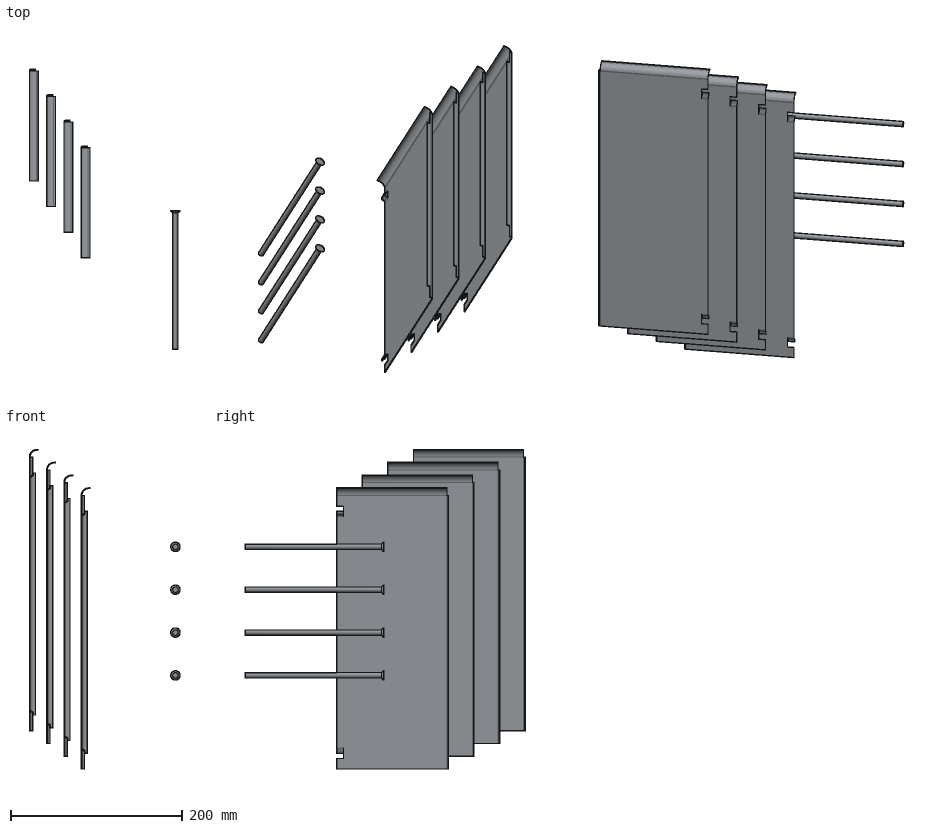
import cadquery as cq
import math

ROW_HEIGHT = 373.5
COUNT = 4
STEP_X = 20.0
STEP_Y = 30.0
STEP_Z = 15.0

SHEET = 1.0
PANEL_HEIGHT = ROW_HEIGHT - (COUNT - 1) * STEP_Z
FLAT_WIDTH = 129.0

LIP_RADIUS = 9.0
LIP_ANGLE = math.radians(85)
LIP_FLAT = 2.2

FOLD_RADIUS = 2 * SHEET
FLANGE_DEPTH = 7.5
FLANGE_END_DEPTH = 4.0

TAB_INSET = 18.3
TAB_WIDTH = 8.0
TAB_OFFSET = 3.7
TAB_FLAT = 2.2
TAB_BEND_ANGLE = math.radians(60)
SLOT_HEIGHT = 5.5

NAIL_X = 110.0
NAIL_TIP_Y = -106.8
NAIL_LENGTH = 162.0
NAIL_PITCH = 50.0
LOWEST_NAIL_Z = 109.5
SHANK_RADIUS = 3.25
HEAD_RADIUS = 5.5
HEAD_RIM = 0.7
HEAD_HEIGHT = 2.5

LIP_RISE = LIP_RADIUS * math.sin(LIP_ANGLE) + LIP_FLAT * math.cos(LIP_ANGLE)
FLAT_HEIGHT = PANEL_HEIGHT - LIP_RISE

TAB_BEND_CENTER_GAP = 2 * FOLD_RADIUS - SHEET
TAB_SLOPE_LENGTH = (
    TAB_OFFSET - TAB_BEND_CENTER_GAP * (1 - math.cos(TAB_BEND_ANGLE))
) / math.sin(TAB_BEND_ANGLE)
TAB_BEND_HEIGHT = (
    TAB_BEND_CENTER_GAP * math.sin(TAB_BEND_ANGLE) + TAB_SLOPE_LENGTH * math.cos(TAB_BEND_ANGLE)
)
TAB_BEND_BOTTOM = TAB_INSET + TAB_FLAT
TAB_ROOT = TAB_BEND_BOTTOM + TAB_BEND_HEIGHT


def lip_point(radius, angle):
    """Point (x, z) on the lip at an angle from the sheet."""
    return (LIP_RADIUS - radius * math.cos(angle), FLAT_HEIGHT + radius * math.sin(angle))


def along_lip_end(point):
    """Point moved by the length of the lip's straight end."""
    return (point[0] + LIP_FLAT * math.sin(LIP_ANGLE), point[1] + LIP_FLAT * math.cos(LIP_ANGLE))


def along_width(width):
    """Extrusion distance toward +Y from an XZ workplane."""
    return -width


def make_sheet():
    """Flat sheet with the curved lip along its top."""
    inner_radius = LIP_RADIUS - SHEET
    outer_end = lip_point(LIP_RADIUS, LIP_ANGLE)
    inner_end = lip_point(inner_radius, LIP_ANGLE)
    return (
        cq.Workplane("XZ")
        .lineTo(0, FLAT_HEIGHT)
        .threePointArc(lip_point(LIP_RADIUS, LIP_ANGLE / 2), outer_end)
        .lineTo(*along_lip_end(outer_end))
        .lineTo(*along_lip_end(inner_end))
        .lineTo(*inner_end)
        .threePointArc(lip_point(inner_radius, LIP_ANGLE / 2), (SHEET, FLAT_HEIGHT))
        .lineTo(SHEET, 0)
        .close()
        .extrude(along_width(FLAT_WIDTH))
    )


def make_flange():
    """Flange along the +Y edge, with its two ends cut narrower."""
    inner_radius = FOLD_RADIUS - SHEET
    outer_y = FLAT_WIDTH + FOLD_RADIUS
    diagonal = math.sqrt(0.5)
    flange = (
        cq.Workplane("XY")
        .moveTo(0, FLAT_WIDTH)
        .threePointArc(
            (FOLD_RADIUS * (1 - diagonal), FLAT_WIDTH + FOLD_RADIUS * diagonal), (FOLD_RADIUS, outer_y)
        )
        .lineTo(FLANGE_DEPTH, outer_y)
        .lineTo(FLANGE_DEPTH, outer_y - SHEET)
        .lineTo(FOLD_RADIUS, outer_y - SHEET)
        .threePointArc(
            (FOLD_RADIUS - inner_radius * diagonal, FLAT_WIDTH + inner_radius * diagonal), (SHEET, FLAT_WIDTH)
        )
        .close()
        .extrude(FLAT_HEIGHT)
    )
    notch = cq.Workplane("XY").box(
        FLANGE_DEPTH - FLANGE_END_DEPTH, outer_y, TAB_INSET, centered=False
    )
    for notch_z in (0, FLAT_HEIGHT - TAB_INSET):
        flange = flange.cut(notch.translate((FLANGE_END_DEPTH, 0, notch_z)))
    return flange


def root_bend_point(radius, angle):
    """Point (x, z) on the tab's bend next to the sheet."""
    return (FOLD_RADIUS - radius * math.cos(angle), TAB_ROOT - radius * math.sin(angle))


def end_bend_point(radius, angle):
    """Point (x, z) on the tab's bend next to its straight end."""
    center_x = TAB_OFFSET + SHEET - FOLD_RADIUS
    return (center_x + radius * math.cos(angle), TAB_BEND_BOTTOM + radius * math.sin(angle))


def make_lower_tab():
    """Tab reaching down from the sheet, stepped inward behind the outer face."""
    inner_radius = FOLD_RADIUS - SHEET
    full = TAB_BEND_ANGLE
    half = full / 2
    return (
        cq.Workplane("XZ")
        .moveTo(0, TAB_ROOT)
        .threePointArc(root_bend_point(FOLD_RADIUS, half), root_bend_point(FOLD_RADIUS, full))
        .lineTo(*end_bend_point(inner_radius, full))
        .threePointArc(end_bend_point(inner_radius, half), end_bend_point(inner_radius, 0))
        .lineTo(TAB_OFFSET, TAB_INSET)
        .lineTo(TAB_OFFSET + SHEET, TAB_INSET)
        .lineTo(*end_bend_point(FOLD_RADIUS, 0))
        .threePointArc(end_bend_point(FOLD_RADIUS, half), end_bend_point(FOLD_RADIUS, full))
        .lineTo(*root_bend_point(inner_radius, full))
        .threePointArc(root_bend_point(inner_radius, half), root_bend_point(inner_radius, 0))
        .close()
        .extrude(along_width(TAB_WIDTH))
    )


def make_panel():
    """One panel: sheet, flange and a tab near each end of the front edge."""
    opening_bottom = TAB_INSET - SLOT_HEIGHT
    opening_height = TAB_ROOT - opening_bottom
    lower_opening = (
        cq.Workplane("XY")
        .box(SHEET, TAB_WIDTH, opening_height, centered=False)
        .translate((0, 0, opening_bottom))
    )
    middle = (0, 0, FLAT_HEIGHT / 2)
    lower_tab = make_lower_tab()
    sheet = make_sheet().cut(lower_opening).cut(lower_opening.mirror("XY", middle))
    return sheet.union(make_flange()).union(lower_tab).union(lower_tab.mirror("XY", middle))


def make_nail():
    """Nail with its tip at the origin, pointing toward -Y."""
    return (
        cq.Workplane("XY")
        .polyline([
            (0, 0),
            (SHANK_RADIUS, 0),
            (SHANK_RADIUS, NAIL_LENGTH - HEAD_HEIGHT),
            (HEAD_RADIUS, NAIL_LENGTH - HEAD_RIM),
            (HEAD_RADIUS, NAIL_LENGTH),
            (0, NAIL_LENGTH),
        ])
        .close()
        .revolve(360, (0, 0, 0), (0, 1, 0))
    )


panels = []
nails = []
for i in range(COUNT):
    panels.append(make_panel().translate((-i * STEP_X, i * STEP_Y, i * STEP_Z)).val())
    nails.append(make_nail().translate((NAIL_X, NAIL_TIP_Y, LOWEST_NAIL_Z + i * NAIL_PITCH)).val())

result = cq.Compound.makeCompound([*panels, *nails])